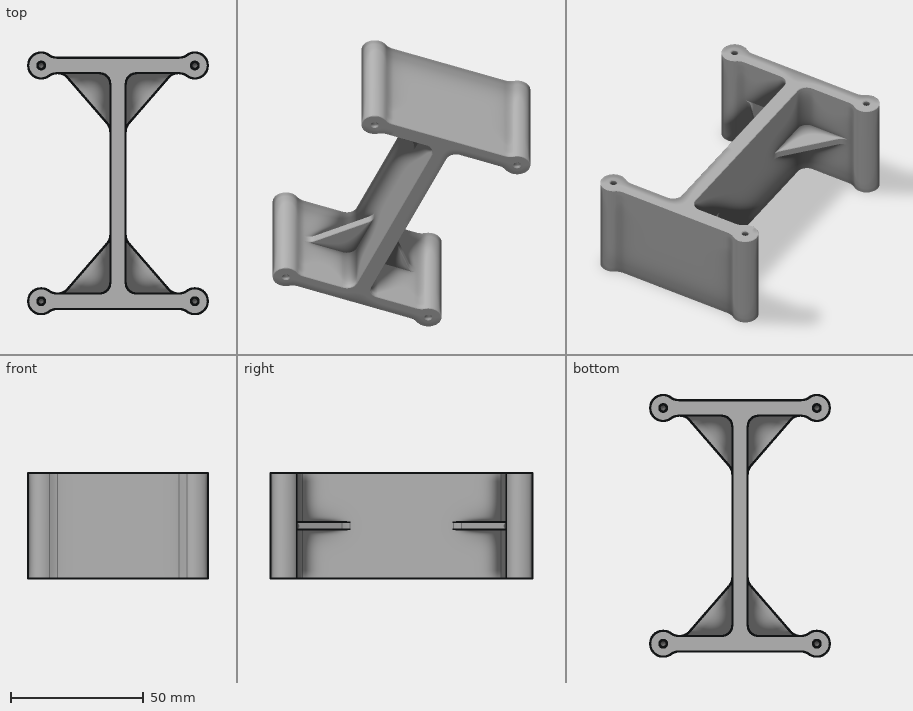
import cadquery as cq
import math

length = 99.0
width = 68.0
height = 40.0
post_diameter = 10.0
wall = 6.0
neck_radius = 5.0
corner_radius = 4.0
edge_chamfer = 0.2
hole_diameter = 2.5
hole_chamfer = 0.3
hole_depth = 10.0
drill_angle = math.radians(118)
gusset_thickness = 3.0
gusset_run_x = 17.5
gusset_run_y = 20.2
gusset_tip_radius = 4.6

post_radius = post_diameter / 2
post_x = width / 2 - post_radius
post_y = length / 2 - post_radius
half_wall = wall / 2
flange_inner_y = post_y - half_wall
post_centers = [(sx * post_x, sy * post_y) for sx in (-1, 1) for sy in (-1, 1)]


def block(size_x, size_y, center_y=0):
    """Full-height block centred on X."""
    return cq.Workplane("XY").box(size_x, size_y, height).translate((0, center_y, 0))


def make_neck(side_x, side_y):
    """Waisted piece joining a post to its flange, with a concave arc on both faces."""
    blend_y = half_wall + neck_radius
    center_distance = post_radius + neck_radius
    neck_length = math.sqrt(center_distance**2 - blend_y**2)
    touch_x = neck_length * post_radius / center_distance
    touch_y = blend_y * post_radius / center_distance
    turn = math.asin(neck_length / center_distance) / 2
    middle_x = neck_length - neck_radius * math.sin(turn)
    middle_y = blend_y - neck_radius * math.cos(turn)

    def place(x, y):
        """Point at distance x from the post axis towards the web and y off the flange midline."""
        return (side_x * (post_x - x), side_y * post_y + y)

    return (
        cq.Workplane("XY", origin=(0, 0, -height / 2))
        .moveTo(*place(touch_x, -touch_y))
        .threePointArc(place(middle_x, -middle_y), place(neck_length, -half_wall))
        .lineTo(*place(neck_length, half_wall))
        .threePointArc(place(middle_x, middle_y), place(touch_x, touch_y))
        .close()
        .extrude(height)
    )


def make_frame():
    """I-shaped frame with a round post at each flange end."""
    frame = block(wall, 2 * post_y)
    for side_y in (-1, 1):
        frame = frame.union(block(2 * post_x, wall, side_y * post_y))
    inner_corners = cq.selectors.BoxSelector(
        (-wall, -flange_inner_y - half_wall, -height),
        (wall, flange_inner_y + half_wall, height),
    )
    frame = frame.edges("|Z").edges(inner_corners).fillet(corner_radius)
    posts = (
        cq.Workplane("XY")
        .pushPoints(post_centers)
        .circle(post_radius)
        .extrude(height / 2, both=True)
    )
    frame = frame.union(posts)
    for side_x in (-1, 1):
        for side_y in (-1, 1):
            frame = frame.union(make_neck(side_x, side_y))
    return frame.faces("|Z").edges().chamfer(edge_chamfer)


def cut_post_holes(body):
    """Blind drilled hole with a conical bottom in both ends of each post."""
    hole_radius = hole_diameter / 2
    tip_depth = hole_depth + hole_radius / math.tan(drill_angle / 2)
    top = height / 2
    profile = [
        (0, top),
        (hole_radius + hole_chamfer, top),
        (hole_radius, top - hole_chamfer),
        (hole_radius, top - hole_depth),
        (0, top - tip_depth),
    ]
    top_hole = cq.Workplane("XZ").polyline(profile).close().revolve(360, (0, 0), (0, 1))
    bottom_hole = top_hole.mirror("XY")
    for x, y in post_centers:
        body = body.cut(top_hole.translate((x, y, 0)))
        body = body.cut(bottom_hole.translate((x, y, 0)))
    return body


def make_gusset():
    """Mid-height triangular gusset of the +X, +Y corner, blended into both walls.

    Two strips buried in the web and the flange carry the blends past the triangle.
    """
    def place(x, y):
        """Point at distance x from the web face and y from the flange face."""
        return (half_wall + x, flange_inner_y - y)

    buried = half_wall / 2
    strip_x = gusset_run_x + gusset_tip_radius
    strip_y = gusset_run_y + gusset_tip_radius
    web_tip = place(0, gusset_run_y)
    flange_tip = place(gusset_run_x, 0)
    outline = [
        place(-buried, -buried),
        place(-buried, strip_y),
        place(0, strip_y),
        web_tip,
        flange_tip,
        place(strip_x, 0),
        place(strip_x, -buried),
    ]
    gusset = cq.Workplane("XY").polyline(outline).close().extrude(gusset_thickness / 2, both=True)
    for x, y in (web_tip, flange_tip):
        tip_edge = cq.selectors.NearestToPointSelector((x, y, 0))
        gusset = gusset.edges("|Z").edges(tip_edge).fillet(gusset_tip_radius)
    return gusset.faces("|Z").edges().chamfer(edge_chamfer)


def add_gussets(body):
    """Gusset in each of the four corners between the web and the flanges."""
    gusset = make_gusset()
    for half in (gusset, gusset.mirror("YZ")):
        body = body.union(half).union(half.mirror("XZ"))
    return body


result = cut_post_holes(add_gussets(make_frame()))